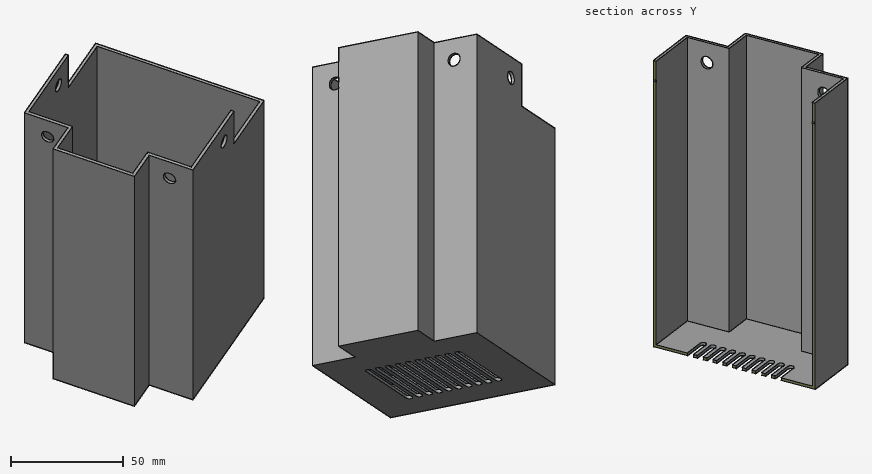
import cadquery as cq

wall = 1.5
floor_thickness = wall

body_width = 83.0
body_depth = 72.0
height = 142.0
channel_width = 40.0
channel_depth = 15.0

ear_depth = 40.0 + wall
step_height = 20.0

hole_diameter = 6.0
hole_drop = 10.0
front_hole_inset = 10.0 + wall
side_hole_setback = 30.0 + wall

slot_count = 10
slot_pitch = 5.0
slot_width = 3.0
slot_length = 40.0

hole_level = height - hole_drop
front_hole_x = body_width / 2 - front_hole_inset


def t_prism(inset, base):
    """T-shaped prism, inset from the outer walls, from the base level to the rim."""
    half_body = body_width / 2 - inset
    half_channel = channel_width / 2 - inset
    back = body_depth - inset
    shoulder = inset
    front = inset - channel_depth
    outline = [
        (-half_body, back),
        (-half_body, shoulder),
        (-half_channel, shoulder),
        (-half_channel, front),
        (half_channel, front),
        (half_channel, shoulder),
        (half_body, shoulder),
        (half_body, back),
    ]
    return cq.Workplane("XY", origin=(0, 0, base)).polyline(outline).close().extrude(height - base)


def rear_step():
    """Block that removes the top of the back wall and the rear part of the side walls."""
    step_depth = body_depth - ear_depth
    return (
        cq.Workplane("XY", origin=(0, ear_depth, height - step_height))
        .box(body_width, step_depth, step_height, centered=(True, False, False))
    )


def front_holes():
    """Pair of holes through the front shoulders, one on each side of the channel."""
    return (
        cq.Workplane("XZ")
        .pushPoints([(-front_hole_x, hole_level), (front_hole_x, hole_level)])
        .circle(hole_diameter / 2)
        .extrude(-wall)
    )


def side_holes():
    """Aligned holes through both side ears."""
    return (
        cq.Workplane("YZ")
        .center(side_hole_setback, hole_level)
        .circle(hole_diameter / 2)
        .extrude(body_width / 2, both=True)
    )


def vent_slots():
    """Row of round-ended slots through the floor, centred in the main box."""
    return (
        cq.Workplane("XY", origin=(0, body_depth / 2, 0))
        .rarray(slot_pitch, 1, slot_count, 1)
        .slot2D(slot_length, slot_width, 90)
        .extrude(floor_thickness)
    )


result = (
    t_prism(0, 0)
    .cut(t_prism(wall, floor_thickness))
    .cut(rear_step())
    .cut(front_holes())
    .cut(side_holes())
    .cut(vent_slots())
)